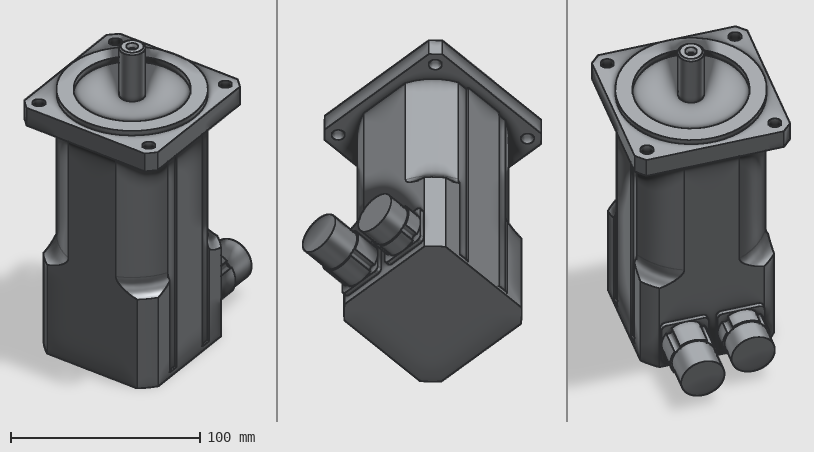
import cadquery as cq
import math

BODY_WIDTH = 74.0
BODY_CORNER_DIAMETER = 94.0
FLANGE_BOTTOM = 144.7

NECK_DIAMETER = 80.0
NECK_BOTTOM = 66.0
NECK_FILLET = 10.0

GROOVE_INNER_Y = 11.8
GROOVE_OUTER_Y = 18.2
GROOVE_DEPTH = 1.4
GROOVE_BOTTOM = 3.0

FLANGE_WIDTH = 86.0
FLANGE_THICKNESS = 11.3
FLANGE_CHAMFER = 5.0
MOUNT_HOLE_DIAMETER = 7.0
MOUNT_HOLE_SPACING = 70.7
PILOT_DIAMETER = 80.0
PILOT_HEIGHT = 3.0
RECESS_DIAMETER = 62.0
RECESS_DEPTH = 3.5

SHAFT_DIAMETER = 14.0
SHAFT_TOP = 186.0
SHAFT_CHAMFER = 1.0
CENTRE_HOLE_DIAMETER = 2.7
CENTRE_HOLE_DEPTH = 10.0
COUNTERSINK_DIAMETER = 6.3
COUNTERSINK_ANGLE = 90.0

CONNECTOR_OFFSET_X = 15.5
CONNECTOR_Z = 18.0
BASE_WIDTH = 26.0
BASE_CORNER_RADIUS = 2.8
BASE_THICKNESS = 2.5
COLLAR_DIAMETER = 26.0
BARREL_DIAMETER = 24.0
SCREW_NOTCH_RADIUS = 2.1
SCREW_NOTCH_COUNT = 4
SCREW_NOTCH_START_ANGLE = 45.0
SHORT_COLLAR_END = 48.5
SHORT_BARREL_END = 60.9
LONG_COLLAR_END = 54.5
LONG_BARREL_END = 71.0

FLANGE_TOP = FLANGE_BOTTOM + FLANGE_THICKNESS
PILOT_TOP = FLANGE_TOP + PILOT_HEIGHT
RECESS_FLOOR = PILOT_TOP - RECESS_DEPTH
BODY_FACE = BODY_WIDTH / 2


def cylinder(diameter, bottom, top):
    """Cylinder on the Z axis between two heights."""
    return cq.Workplane("XY").workplane(offset=bottom).circle(diameter / 2).extrude(top - bottom)


def housing_column():
    """Square column with round corners, turned down to the neck above a concave fillet."""
    square = cq.Workplane("XY").rect(BODY_WIDTH, BODY_WIDTH).extrude(FLANGE_BOTTOM)
    column = square.intersect(cylinder(BODY_CORNER_DIAMETER, 0, FLANGE_BOTTOM))

    neck_radius = NECK_DIAMETER / 2
    fillet_outer = neck_radius + NECK_FILLET
    arc_reach = NECK_FILLET * math.sqrt(0.5)
    turning = (
        cq.Workplane("XZ")
        .moveTo(neck_radius, FLANGE_BOTTOM)
        .lineTo(neck_radius, NECK_BOTTOM)
        .threePointArc(
            (fillet_outer - arc_reach, NECK_BOTTOM - arc_reach),
            (fillet_outer, NECK_BOTTOM - NECK_FILLET),
        )
        .lineTo(fillet_outer, FLANGE_BOTTOM)
        .close()
        .revolve(360, (0, 0, 0), (0, 1, 0))
    )
    return column.cut(turning)


def side_grooves():
    """Cutters for the four grooves that end under the flange."""
    groove_width = GROOVE_OUTER_Y - GROOVE_INNER_Y
    groove_y = (GROOVE_OUTER_Y + GROOVE_INNER_Y) / 2
    return (
        cq.Workplane("XY")
        .workplane(offset=GROOVE_BOTTOM)
        .rarray(2 * BODY_FACE, 2 * groove_y, 2, 2)
        .rect(2 * GROOVE_DEPTH, groove_width)
        .extrude(FLANGE_BOTTOM - GROOVE_BOTTOM)
    )


def mounting_flange():
    """Square flange with chamfered corners, four mounting holes, pilot ring and recess."""
    plate = (
        cq.Workplane("XY")
        .workplane(offset=FLANGE_BOTTOM)
        .rect(FLANGE_WIDTH, FLANGE_WIDTH)
        .extrude(FLANGE_THICKNESS)
        .edges("|Z")
        .chamfer(FLANGE_CHAMFER)
    )
    mount_holes = (
        cq.Workplane("XY")
        .workplane(offset=FLANGE_BOTTOM)
        .rarray(MOUNT_HOLE_SPACING, MOUNT_HOLE_SPACING, 2, 2)
        .circle(MOUNT_HOLE_DIAMETER / 2)
        .extrude(FLANGE_THICKNESS)
    )
    pilot = cylinder(PILOT_DIAMETER, FLANGE_TOP, PILOT_TOP)
    recess = cylinder(RECESS_DIAMETER, RECESS_FLOOR, PILOT_TOP)
    return plate.cut(mount_holes).union(pilot).cut(recess)


def output_shaft():
    """Chamfered shaft rising from the recess floor, with a countersunk centre hole."""
    return (
        cylinder(SHAFT_DIAMETER, RECESS_FLOOR, SHAFT_TOP)
        .faces(">Z")
        .chamfer(SHAFT_CHAMFER)
        .faces(">Z")
        .workplane()
        .cskHole(CENTRE_HOLE_DIAMETER, COUNTERSINK_DIAMETER, COUNTERSINK_ANGLE, CENTRE_HOLE_DEPTH)
    )


def motor_housing():
    """Column, flange and shaft as one solid."""
    return housing_column().cut(side_grooves()).union(mounting_flange()).union(output_shaft())


def connector(center_x, collar_end, barrel_end):
    """Connector along +Y: square base, collar with four screw notches, round barrel."""
    base_end = BODY_FACE + BASE_THICKNESS

    def section(start):
        return cq.Workplane("XZ", origin=(center_x, start, CONNECTOR_Z))

    base = section(BODY_FACE).rect(BASE_WIDTH, BASE_WIDTH).extrude(-BASE_THICKNESS)
    base = base.edges("|Y").fillet(BASE_CORNER_RADIUS)
    collar = section(base_end).circle(COLLAR_DIAMETER / 2).extrude(base_end - collar_end)
    notches = (
        section(base_end)
        .polarArray(COLLAR_DIAMETER / 2, SCREW_NOTCH_START_ANGLE, 360, SCREW_NOTCH_COUNT)
        .circle(SCREW_NOTCH_RADIUS)
        .extrude(base_end - collar_end)
    )
    barrel = section(collar_end).circle(BARREL_DIAMETER / 2).extrude(collar_end - barrel_end)
    return base.union(collar.cut(notches)).union(barrel)


housing = motor_housing()
connectors = [
    connector(-CONNECTOR_OFFSET_X, SHORT_COLLAR_END, SHORT_BARREL_END),
    connector(CONNECTOR_OFFSET_X, LONG_COLLAR_END, LONG_BARREL_END),
]

result = cq.Compound.makeCompound([housing.val(), *[body.val() for body in connectors]])